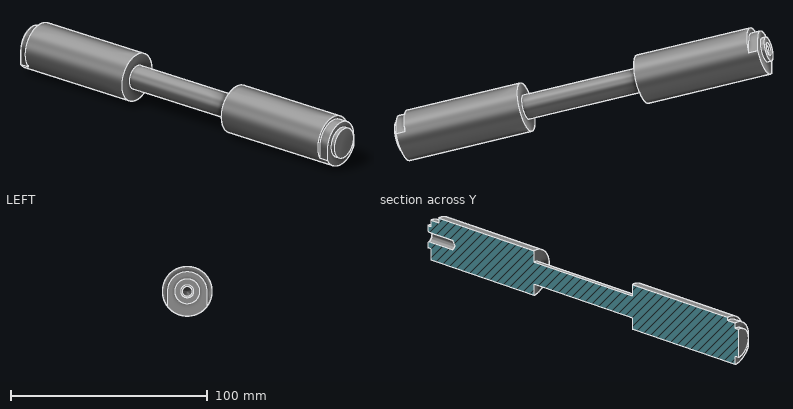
import math

import cadquery as cq

TOTAL_LENGTH = 201.02
ROLLER_DIAMETER = 25.4
ROLLER_LENGTH = 66.675
ROLLER_GAP = 63.5
ROD_DIAMETER = 12.7

RELIEF_LENGTH = 4.9
LEFT_RELIEF_WIDTH = 20.0
RIGHT_RELIEF_WIDTH = 22.0

STUB_DIAMETER = 16.0
STUB_LENGTH = 2.1

HOLE_DIAMETER = 5.0
HOLE_DEPTH = 16.0
HOLE_MOUTH_DIAMETER = 6.6
DRILL_POINT_ANGLE = 118.0

LEFT_ROLLER_END = -ROLLER_GAP / 2 - ROLLER_LENGTH
RIGHT_ROLLER_END = ROLLER_GAP / 2 + ROLLER_LENGTH
STUB_END = RIGHT_ROLLER_END + STUB_LENGTH
ROD_START = STUB_END - TOTAL_LENGTH


def cylinder(diameter, start, end):
    """Solid cylinder on the X axis between two X positions."""
    return cq.Workplane("YZ", origin=(start, 0, 0)).circle(diameter / 2).extrude(end - start)


def relieved_end(width, start):
    """Roller end with a round top half and a lower half trimmed flat on both sides."""
    round_top = cylinder(width, start, start + RELIEF_LENGTH)
    lower_block = cq.Workplane("XY").box(
        RELIEF_LENGTH, width, ROLLER_DIAMETER / 2, centered=(False, True, False)
    ).translate((start, 0, -ROLLER_DIAMETER / 2))
    flat_bottom = cylinder(ROLLER_DIAMETER, start, start + RELIEF_LENGTH).intersect(lower_block)
    return round_top.union(flat_bottom)


def left_roller():
    shoulder = LEFT_ROLLER_END + RELIEF_LENGTH
    body = cylinder(ROLLER_DIAMETER, shoulder, -ROLLER_GAP / 2)
    return body.union(relieved_end(LEFT_RELIEF_WIDTH, LEFT_ROLLER_END))


def right_roller():
    shoulder = RIGHT_ROLLER_END - RELIEF_LENGTH
    body = cylinder(ROLLER_DIAMETER, ROLLER_GAP / 2, shoulder)
    stub = cylinder(STUB_DIAMETER, RIGHT_ROLLER_END, STUB_END)
    return body.union(relieved_end(RIGHT_RELIEF_WIDTH, shoulder)).union(stub)


def rod_hole():
    """Blind hole with a 45 degree chamfered mouth and a conical drill point."""
    mouth_chamfer = (HOLE_MOUTH_DIAMETER - HOLE_DIAMETER) / 2
    point_length = HOLE_DIAMETER / 2 / math.tan(math.radians(DRILL_POINT_ANGLE / 2))
    profile = (
        cq.Workplane("XY")
        .moveTo(ROD_START, 0)
        .lineTo(ROD_START, HOLE_MOUTH_DIAMETER / 2)
        .lineTo(ROD_START + mouth_chamfer, HOLE_DIAMETER / 2)
        .lineTo(ROD_START + HOLE_DEPTH, HOLE_DIAMETER / 2)
        .lineTo(ROD_START + HOLE_DEPTH + point_length, 0)
        .close()
    )
    return profile.revolve(360, (0, 0, 0), (1, 0, 0))


rod = cylinder(ROD_DIAMETER, ROD_START, STUB_END)
result = rod.union(left_roller()).union(right_roller()).cut(rod_hole())